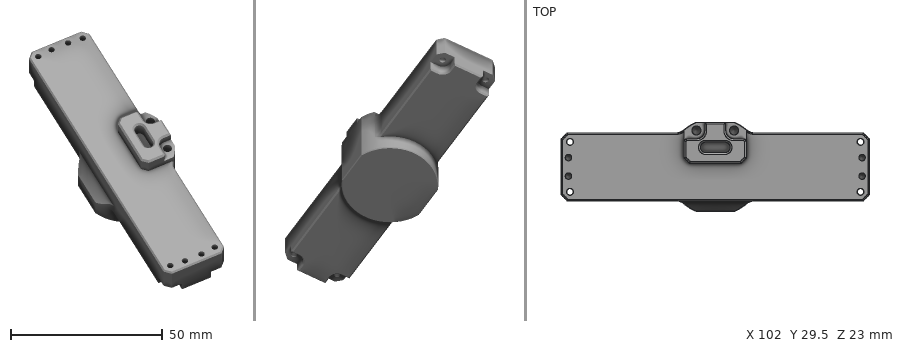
import cadquery as cq
import math

TOTAL_HEIGHT = 23.0
BAR_BOTTOM = 5.8
SPLIT_LEVEL = 13.8
BAR_TOP = 17.8

BAR_LENGTH = 102.0
BAR_WIDTH = 22.4
BAR_CORNER = 2.0
BAR_CHAMFER = 0.5

BOSS_RADIUS = 16.0
BOSS_DEPTH = 29.5
BOSS_BOTTOM_CHAMFER = 0.3
BLEND_RADIUS = 4.3
BLEND_OVERLAP = 0.02
FRONT_RAMP_TOP = 9.8

LUG_FRONT = 1.1
LUG_CORNER = 1.8
LUG_CHAMFER = 0.6
LUG_SLOT_Y = 6.4
LUG_SLOT_LENGTH = 9.8
LUG_SLOT_WIDTH = 3.5

LUG_HOLE_X = 6.2
LUG_HOLE_Y = 12.0
LUG_HOLE_DIAMETER = 3.0
LUG_HOLE_DEPTH = 4.1
LUG_SEAT_RADIUS = 2.8
LUG_SEAT_LEVEL = 19.9

CORNER_HOLE_X = 48.0
CORNER_HOLE_Y = 8.3
END_HOLE_DIAMETER = 2.1
NOTCH_RADIUS = 2.9
NOTCH_TOP = 9.5

BLIND_HOLE_X = 48.6
BLIND_HOLE_Y = 3.1
BLIND_HOLE_DEPTH = 3.1

DRILL_TIP_ANGLE = 118.0

HALF_WIDTH = BAR_WIDTH / 2
HALF_LENGTH = BAR_LENGTH / 2
HALF_DEPTH = BOSS_DEPTH / 2
MIRRORS = [(sx, sy) for sx in (-1, 1) for sy in (-1, 1)]

BLEND_REACH = BOSS_RADIUS - BLEND_OVERLAP + BLEND_RADIUS
BLEND_CENTRE_Y = HALF_WIDTH + BLEND_RADIUS
BLEND_CENTRE_X = math.sqrt(BLEND_REACH ** 2 - BLEND_CENTRE_Y ** 2)
BLEND_END_X = BLEND_CENTRE_X * (1 - BLEND_RADIUS / BLEND_REACH)
BLEND_END_Y = BLEND_CENTRE_Y * (1 - BLEND_RADIUS / BLEND_REACH)

LUG_WIDTH = 2 * BLEND_END_X


def block(x_min, x_max, y_min, y_max, z_min, z_max):
    size = (x_max - x_min, y_max - y_min, z_max - z_min)
    return cq.Workplane("XY").box(*size, centered=False).translate((x_min, y_min, z_min))


def drilled_hole(x, y, top, diameter, depth):
    """Blind hole cutter with a conical tip; depth is that of the straight part."""
    radius = diameter / 2
    tip = radius / math.tan(math.radians(DRILL_TIP_ANGLE / 2))
    profile = [(0, 0), (radius, 0), (radius, -depth), (0, -depth - tip)]
    cutter = cq.Workplane("XZ").polyline(profile).close().revolve(360, (0, 0), (0, 1))
    return cutter.translate((x, y, top))


def corner_pocket(x, y, sx, sy, radius, z_min, z_max):
    """Pocket with a round inner corner about (x, y), open outwards along sx and sy."""
    reach = HALF_WIDTH
    pocket = block(-radius, reach, -radius, reach, z_min, z_max)
    pocket = pocket.edges("|Z and <X and <Y").fillet(radius)
    if sx < 0:
        pocket = pocket.mirror("YZ")
    if sy < 0:
        pocket = pocket.mirror("XZ")
    return pocket.translate((sx * x, sy * y, 0))


def bar_slab(z_min, z_max, front_blends):
    """Bar with bevelled corners and concave blends at the back, and if wanted at the front."""
    corner_x = HALF_LENGTH - BAR_CORNER
    corner_y = HALF_WIDTH - BAR_CORNER
    outline = (
        cq.Workplane("XY").workplane(offset=z_min)
        .moveTo(HALF_LENGTH, -corner_y)
        .lineTo(HALF_LENGTH, corner_y)
        .lineTo(corner_x, HALF_WIDTH)
        .lineTo(BLEND_CENTRE_X, HALF_WIDTH)
        .radiusArc((BLEND_END_X, BLEND_END_Y), BLEND_RADIUS)
        .lineTo(-BLEND_END_X, BLEND_END_Y)
        .radiusArc((-BLEND_CENTRE_X, HALF_WIDTH), BLEND_RADIUS)
        .lineTo(-corner_x, HALF_WIDTH)
        .lineTo(-HALF_LENGTH, corner_y)
        .lineTo(-HALF_LENGTH, -corner_y)
        .lineTo(-corner_x, -HALF_WIDTH)
    )
    if front_blends:
        outline = (
            outline
            .lineTo(-BLEND_CENTRE_X, -HALF_WIDTH)
            .radiusArc((-BLEND_END_X, -BLEND_END_Y), BLEND_RADIUS)
            .lineTo(BLEND_END_X, -BLEND_END_Y)
            .radiusArc((BLEND_CENTRE_X, -HALF_WIDTH), BLEND_RADIUS)
        )
    return outline.lineTo(corner_x, -HALF_WIDTH).close().extrude(z_max - z_min)


def boss_disc(z_min, z_max):
    disc = cq.Workplane("XY").workplane(offset=z_min).circle(BOSS_RADIUS).extrude(z_max - z_min)
    flats = block(-BOSS_RADIUS, BOSS_RADIUS, -HALF_DEPTH, HALF_DEPTH, z_min, z_max)
    return disc.intersect(flats)


def boss_column(y_min, z_min, z_max):
    """Part of the boss that is as wide as the lug, from y_min to the back flat."""
    limits = block(-LUG_WIDTH / 2, LUG_WIDTH / 2, y_min, HALF_DEPTH, z_min, z_max)
    return boss_disc(z_min, z_max).intersect(limits)


def cut_corner_holes(body):
    for sx, sy in MIRRORS:
        hole = cq.Workplane("XY").circle(END_HOLE_DIAMETER / 2).extrude(TOTAL_HEIGHT)
        body = body.cut(hole.translate((sx * CORNER_HOLE_X, sy * CORNER_HOLE_Y, 0)))
    return body


def front_ramp_cutter():
    """Everything in front of the bar that lies above the 45 degree ramp of the boss."""
    drop = HALF_DEPTH - HALF_WIDTH
    profile = [
        (-HALF_WIDTH, FRONT_RAMP_TOP),
        (-HALF_DEPTH, FRONT_RAMP_TOP - drop),
        (-HALF_DEPTH, BAR_TOP),
        (-HALF_WIDTH, BAR_TOP),
    ]
    return cq.Workplane("YZ").polyline(profile).close().extrude(BOSS_RADIUS, both=True)


def make_base():
    slab = bar_slab(BAR_BOTTOM, SPLIT_LEVEL, front_blends=True)
    for sx, sy in MIRRORS:
        slab = slab.cut(
            corner_pocket(CORNER_HOLE_X, CORNER_HOLE_Y, sx, sy, NOTCH_RADIUS, BAR_BOTTOM, NOTCH_TOP)
        )
    slab = slab.faces("<Z").edges().chamfer(BAR_CHAMFER)
    foot = boss_disc(0, SPLIT_LEVEL).faces("<Z").edges().chamfer(BOSS_BOTTOM_CHAMFER)
    base = slab.union(foot)
    base = base.cut(front_ramp_cutter())
    return cut_corner_holes(base)


def make_lug():
    """Lug whose back follows the boss, with a slot and two screw seats."""
    lug = boss_column(LUG_FRONT, BAR_TOP, TOTAL_HEIGHT)
    lug = lug.edges("|Z and <Y").chamfer(LUG_CORNER)
    for sx in (-1, 1):
        lug = lug.cut(
            corner_pocket(LUG_HOLE_X, LUG_HOLE_Y, sx, 1, LUG_SEAT_RADIUS, LUG_SEAT_LEVEL, TOTAL_HEIGHT)
        )
    for sx in (-1, 1):
        seat_edge = (sx * LUG_WIDTH / 2, LUG_HOLE_Y - LUG_SEAT_RADIUS, TOTAL_HEIGHT)
        lug = lug.edges("|Z").edges(cq.NearestToPointSelector(seat_edge)).chamfer(LUG_CHAMFER)
    slot = (
        cq.Workplane("XY").workplane(offset=BAR_TOP)
        .center(0, LUG_SLOT_Y)
        .slot2D(LUG_SLOT_LENGTH, LUG_SLOT_WIDTH)
        .extrude(TOTAL_HEIGHT - BAR_TOP)
    )
    return lug.cut(slot).faces(">Z").edges().chamfer(LUG_CHAMFER)


def make_cap():
    slab = bar_slab(SPLIT_LEVEL, BAR_TOP, front_blends=False)
    slab = slab.faces(">Z").edges().chamfer(BAR_CHAMFER)
    cap = slab.union(boss_column(LUG_FRONT, SPLIT_LEVEL, BAR_TOP)).union(make_lug())
    for sx in (-1, 1):
        cap = cap.cut(
            drilled_hole(sx * LUG_HOLE_X, LUG_HOLE_Y, LUG_SEAT_LEVEL, LUG_HOLE_DIAMETER, LUG_HOLE_DEPTH)
        )
    for sx, sy in MIRRORS:
        cap = cap.cut(
            drilled_hole(sx * BLIND_HOLE_X, sy * BLIND_HOLE_Y, BAR_TOP, END_HOLE_DIAMETER, BLIND_HOLE_DEPTH)
        )
    return cut_corner_holes(cap)


base = make_base()
cap = make_cap()

result = cq.Compound.makeCompound([base.val(), cap.val()])